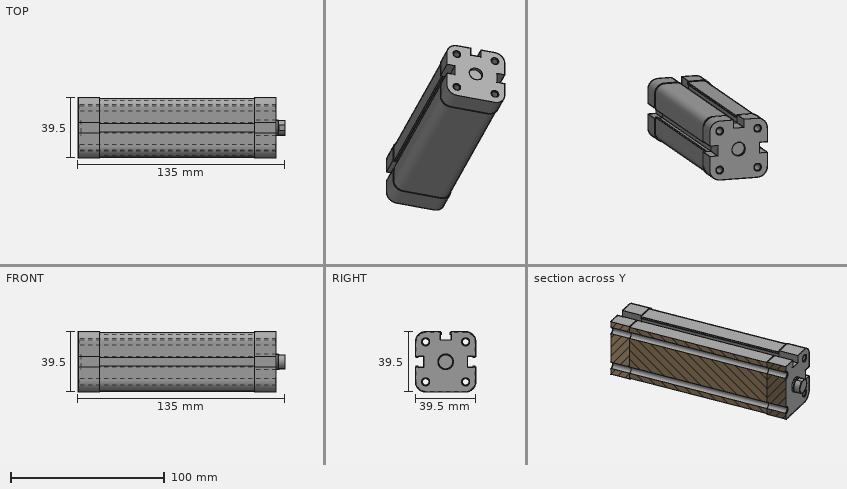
import cadquery as cq

overall_length = 135
cap_length = 14.0
rod_projection = 6.0
front_face_x = overall_length - rod_projection
barrel_start_x = cap_length
barrel_end_x = front_face_x - cap_length

cap_width = 39.5
cap_corner_radius = 7.0
barrel_inset = 0.5
barrel_width = cap_width - 2 * barrel_inset
barrel_corner_radius = cap_corner_radius - barrel_inset

slot_width = 7.0
slot_floor_offset = 14.3
lip_overhang = 0.8
lip_thickness = 1.4
mouth_width = slot_width - 2 * lip_overhang
slot_side_angles = (-90, 0, 90)

hole_spacing = 26.0
hole_diameter = 4.2
hole_chamfer = 0.5

recess_diameter = 9.0
recess_depth = 2.0

shank_diameter = 10.1
shank_projection = 1.1
shoulder_length = 0.4
rod_end_diameter = 9.9
flats_start = 1.9
across_flats = 9.2
rod_end_chamfer = 0.3


def rounded_bar(start_x, end_x, width, corner_radius):
    """Square bar along X with rounded long edges."""
    return (
        cq.Workplane("YZ", origin=(start_x, 0, 0))
        .rect(width, width)
        .extrude(end_x - start_x)
        .edges("|X")
        .fillet(corner_radius)
    )


def cut_side_channels(body, start_x, end_x, width, inner_offset, outer_offset):
    """Cut a rectangular channel along each slotted side between two distances from the axis."""
    channel = cq.Workplane("XY").box(
        end_x - start_x, width, outer_offset - inner_offset, centered=(False, True, False)
    ).translate((start_x, 0, inner_offset))
    for angle in slot_side_angles:
        body = body.cut(channel.rotate((0, 0, 0), (1, 0, 0), angle))
    return body


def cut_screw_holes(body, start_x, end_x):
    """Drill the four corner holes along X."""
    holes = (
        cq.Workplane("YZ", origin=(start_x, 0, 0))
        .rect(hole_spacing, hole_spacing, forConstruction=True)
        .vertices()
        .circle(hole_diameter / 2)
        .extrude(end_x - start_x)
    )
    return body.cut(holes)


def make_cap(start_x, outer_face):
    """Slotted end cap with screw holes chamfered on its outer face."""
    end_x = start_x + cap_length
    cap = rounded_bar(start_x, end_x, cap_width, cap_corner_radius)
    cap = cut_side_channels(cap, start_x, end_x, slot_width, slot_floor_offset, cap_width / 2)
    cap = cut_screw_holes(cap, start_x, end_x)
    return cap.faces(outer_face).edges("%CIRCLE").edges(
        cq.selectors.RadiusNthSelector(0)
    ).chamfer(hole_chamfer)


def make_rear_cap():
    """End cap with the blind centring recess."""
    recess = cq.Workplane("YZ").circle(recess_diameter / 2).extrude(recess_depth)
    return make_cap(0, "<X").cut(recess)


def make_front_cap():
    """End cap with the bore that the rod fills."""
    bore = (
        cq.Workplane("YZ", origin=(barrel_end_x, 0, 0))
        .circle(shank_diameter / 2)
        .extrude(cap_length)
    )
    return make_cap(barrel_end_x, ">X").cut(bore)


def make_barrel():
    """Profile between the caps, with lipped slots."""
    lip_bottom_offset = barrel_width / 2 - lip_thickness
    span = (barrel_start_x, barrel_end_x)
    barrel = rounded_bar(*span, barrel_width, barrel_corner_radius)
    barrel = cut_side_channels(barrel, *span, slot_width, slot_floor_offset, lip_bottom_offset)
    barrel = cut_side_channels(barrel, *span, mouth_width, lip_bottom_offset, barrel_width / 2)
    return cut_screw_holes(barrel, *span)


def make_rod():
    """Turned rod with a tapered shoulder, an end chamfer and two flats facing +Z and -Z."""
    shank_end_x = front_face_x + shank_projection
    rod = (
        cq.Workplane("XY")
        .moveTo(barrel_end_x, 0)
        .lineTo(barrel_end_x, shank_diameter / 2)
        .lineTo(shank_end_x, shank_diameter / 2)
        .lineTo(shank_end_x + shoulder_length, rod_end_diameter / 2)
        .lineTo(overall_length - rod_end_chamfer, rod_end_diameter / 2)
        .lineTo(overall_length, rod_end_diameter / 2 - rod_end_chamfer)
        .lineTo(overall_length, 0)
        .close()
        .revolve(360, (0, 0, 0), (1, 0, 0))
    )
    flats_start_x = front_face_x + flats_start
    flat_cutter = cq.Workplane("XY").box(
        overall_length - flats_start_x, shank_diameter, shank_diameter, centered=(False, True, False)
    ).translate((flats_start_x, 0, across_flats / 2))
    for angle in (0, 180):
        rod = rod.cut(flat_cutter.rotate((0, 0, 0), (1, 0, 0), angle))
    return rod


rear_cap = make_rear_cap()
barrel = make_barrel()
front_cap = make_front_cap()
rod = make_rod()

result = cq.Compound.makeCompound([rear_cap.val(), barrel.val(), front_cap.val(), rod.val()])